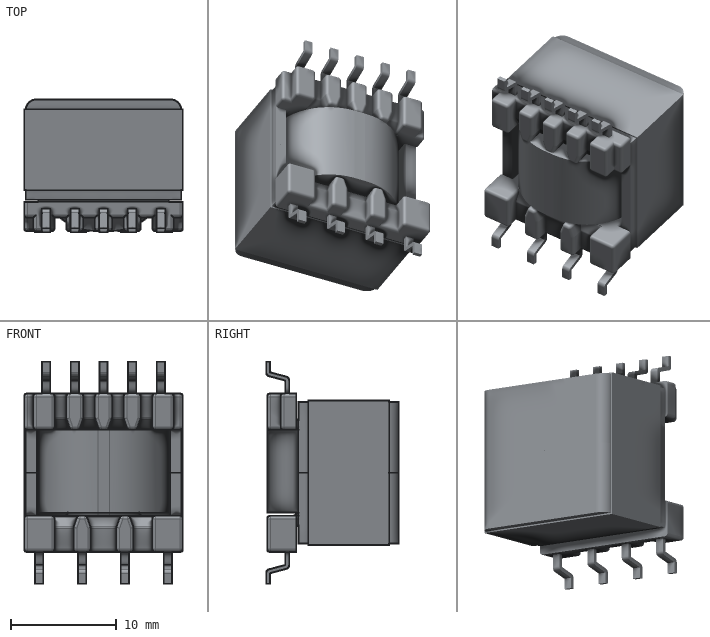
import cadquery as cq
import math


CORE_WIDTH = 14.73
CORE_HEIGHT = 13.4
CORE_FRONT = -2.62
CORE_BACK = 6.88
CORE_CORNER_RADIUS = 1.05
AXIS_HALF_FLAT = 0.556
POST_RADIUS = 2.52
WINDOW_RADIUS = 5.75
WINDOW_HALF_HEIGHT = 4.95

TAPE_THICKNESS = 0.136
TAPE_BACK = CORE_BACK - 0.92
TAPE_DEPTH = 7.66

WINDING_RADIUS = 5.58
WINDING_GAP = 0.3
BARREL_RADIUS = 2.81
BARREL_FILLET = WINDING_GAP
SELECT_MARGIN = 0.02
FLANGE_RADIUS = 5.63
FLANGE_INNER = 4.05

BLOCK_HALF_WIDTH = CORE_WIDTH / 2 + TAPE_THICKNESS
BLOCK_OUTER = 7.5
BLOCK_GAP = 0.19
BLOCK_BACK = CORE_FRONT - BLOCK_GAP
BLOCK_FRONT = -WINDING_RADIUS
BLOCK_EDGE_RADIUS = 0.3
RAIL_FRONT = -4.3
TAPER_HEIGHT = 1.1
RAIL_TAPER = 0.63
TOOTH_WIDTH = 1.62
TOOTH_TAPER = 0.38
CORNER_INNER = 4.62
UPPER_CORNER_OUTER = 6.63

PIN_WIDTH = 0.8
PIN_THICKNESS = 0.4
PIN_ROOT_Y = -3.67
PIN_FOOT_Y = -5.48
PIN_LOWER_BEND = 8.85
PIN_UPPER_BEND = 9.35
PIN_TIP = 10.5
UPPER_PITCH = 2.7
UPPER_PINS = 5
LOWER_PITCH = 4.05
LOWER_PINS = 4


def box(x_range, y_range, z_range):
    """Axis-aligned box between pairs of limits."""
    (x0, x1), (y0, y1), (z0, z1) = x_range, y_range, z_range
    return cq.Workplane("XY").box(x1 - x0, y1 - y0, z1 - z0, centered=False).translate((x0, y0, z0))


def obround(radius, z0, z1):
    """Upright obround column, its straight sides parallel to X."""
    length = 2 * (radius + AXIS_HALF_FLAT)
    return cq.Workplane("XY").workplane(offset=z0).slot2D(length, 2 * radius).extrude(z1 - z0)


def open_front(radius, front, z0, z1):
    """Column with an obround rear half, carried straight forward to a flat front at the given Y."""
    half_width = radius + AXIS_HALF_FLAT
    rear = obround(radius, z0, z1).intersect(box((-half_width, half_width), (0, radius), (z0, z1)))
    return rear.union(box((-half_width, half_width), (front, 0), (z0, z1)))


def centred_positions(count, pitch):
    """Evenly spaced X positions, symmetric about zero."""
    return [(i - (count - 1) / 2) * pitch for i in range(count)]


def make_core_half(side):
    """Half of the core with its share of the centre post; side is +1 above, -1 below."""
    z0, z1 = sorted((0, side * CORE_HEIGHT / 2))
    w0, w1 = sorted((0, side * WINDOW_HALF_HEIGHT))
    body = box((-CORE_WIDTH / 2, CORE_WIDTH / 2), (CORE_FRONT, CORE_BACK), (z0, z1))
    body = body.faces(">Y").edges("|Z").fillet(CORE_CORNER_RADIUS)
    window = open_front(WINDOW_RADIUS, CORE_FRONT, w0, w1)
    return body.cut(window.cut(obround(POST_RADIUS, w0, w1)))


def make_tape():
    """Closed rectangular band around the sides of both core halves."""
    band = (
        cq.Workplane("XZ", origin=(0, TAPE_BACK, 0))
        .rect(CORE_WIDTH + 2 * TAPE_THICKNESS, CORE_HEIGHT + 2 * TAPE_THICKNESS)
        .rect(CORE_WIDTH, CORE_HEIGHT)
        .extrude(TAPE_DEPTH)
    )
    return band


def make_winding():
    """Hollow obround coil fitted on the barrel, clear of the lower flange."""
    z0 = -FLANGE_INNER + WINDING_GAP
    return obround(WINDING_RADIUS, z0, FLANGE_INNER).cut(obround(BARREL_RADIUS, z0, FLANGE_INNER))


def make_flange():
    """Upper flange plate, rounded along its inner rim and coved into the block behind it."""
    half_width = FLANGE_RADIUS + AXIS_HALF_FLAT
    plate = open_front(FLANGE_RADIUS, RAIL_FRONT + RAIL_TAPER, FLANGE_INNER, WINDOW_HALF_HEIGHT)
    plate = plate.faces("<Z").edges("not <Y").fillet(BLOCK_EDGE_RADIUS)
    cove_mid = BLOCK_GAP * (1 - math.sqrt(0.5))
    cove = (
        cq.Workplane("YZ", origin=(-half_width, 0, 0))
        .moveTo(CORE_FRONT, WINDOW_HALF_HEIGHT)
        .threePointArc(
            (BLOCK_BACK + cove_mid, WINDOW_HALF_HEIGHT + cove_mid),
            (BLOCK_BACK, WINDOW_HALF_HEIGHT + BLOCK_GAP),
        )
        .lineTo(BLOCK_BACK, WINDOW_HALF_HEIGHT)
        .close()
        .extrude(2 * half_width)
    )
    return plate.union(cove)


def rounded_bar(x0, x1, front):
    """Full-height block rounded on every edge except around its back face."""
    bar = box((x0, x1), (front, BLOCK_BACK), (FLANGE_INNER, BLOCK_OUTER))
    return bar.edges("not >Y").fillet(BLOCK_EDGE_RADIUS)


def make_rail():
    """Bar joining the teeth, its front slanting back toward the winding."""
    profile = [
        (BLOCK_BACK, BLOCK_OUTER),
        (RAIL_FRONT, BLOCK_OUTER),
        (RAIL_FRONT, FLANGE_INNER + TAPER_HEIGHT),
        (RAIL_FRONT + RAIL_TAPER, FLANGE_INNER),
        (BLOCK_BACK, FLANGE_INNER),
    ]
    rail_half = CORNER_INNER + BLOCK_EDGE_RADIUS
    rail = cq.Workplane("YZ", origin=(-rail_half, 0, 0)).polyline(profile).close().extrude(2 * rail_half)
    return rail.edges("|X").edges("<Y or <Z").edges("not >Y").fillet(BLOCK_EDGE_RADIUS)


def make_tooth():
    """Tooth centred on X = 0, narrowing toward the winding."""
    half = TOOTH_WIDTH / 2
    tip = half - TOOTH_TAPER
    shoulder = FLANGE_INNER + TAPER_HEIGHT
    outline = [
        (-half, BLOCK_OUTER), (half, BLOCK_OUTER), (half, shoulder),
        (tip, FLANGE_INNER), (-tip, FLANGE_INNER), (-half, shoulder),
    ]
    tooth = (
        cq.Workplane("XZ", origin=(0, BLOCK_BACK, 0))
        .polyline(outline).close()
        .extrude(BLOCK_BACK - BLOCK_FRONT)
    )
    front = tooth.edges("<Y").vals()
    long = tooth.edges("|Y").edges(">Z or <Z").vals()
    return tooth.newObject(front + long).fillet(BLOCK_EDGE_RADIUS)


def make_pin():
    """Gull-wing pin centred on X = 0, rooted in the upper block."""
    half = PIN_THICKNESS / 2
    slope = math.atan2(PIN_UPPER_BEND - PIN_LOWER_BEND, PIN_ROOT_Y - PIN_FOOT_Y)
    mitre = half * math.cos(slope) / (1 + math.sin(slope))
    root = (FLANGE_INNER + BLOCK_OUTER) / 2
    outline = [
        (PIN_ROOT_Y + half, root),
        (PIN_ROOT_Y + half, PIN_LOWER_BEND + mitre),
        (PIN_FOOT_Y + half, PIN_UPPER_BEND + mitre),
        (PIN_FOOT_Y + half, PIN_TIP),
        (PIN_FOOT_Y - half, PIN_TIP),
        (PIN_FOOT_Y - half, PIN_UPPER_BEND - mitre),
        (PIN_ROOT_Y - half, PIN_LOWER_BEND - mitre),
        (PIN_ROOT_Y - half, root),
    ]
    pin = (
        cq.Workplane("YZ", origin=(-PIN_WIDTH / 2, 0, 0))
        .polyline(outline).close()
        .extrude(PIN_WIDTH)
    )
    for bend in (outline[1], outline[5]):
        pin = pin.edges(cq.selectors.NearestToPointSelector((0, *bend))).fillet(PIN_THICKNESS)
    return pin


def make_end(tooth_positions, pin_positions, corner_outer):
    """Flange, block and pins of one end, in the upper position."""
    end = make_flange().union(make_rail())
    corner_middle = (CORNER_INNER + corner_outer) / 2
    for side in (-1, 1):
        x0, x1 = sorted((side * CORNER_INNER, side * corner_outer))
        end = end.union(rounded_bar(x0, x1, BLOCK_FRONT))
        if corner_outer < BLOCK_HALF_WIDTH:
            x0, x1 = sorted((side * corner_middle, side * BLOCK_HALF_WIDTH))
            end = end.union(rounded_bar(x0, x1, RAIL_FRONT))
    for x in tooth_positions:
        end = end.union(make_tooth().translate((x, 0, 0)))
    for x in pin_positions:
        end = end.union(make_pin().translate((x, 0, 0)))
    return end


def make_bobbin():
    """Both ends joined by a bored barrel that flares into the lower flange."""
    upper_pins = centred_positions(UPPER_PINS, UPPER_PITCH)
    lower_pins = centred_positions(LOWER_PINS, LOWER_PITCH)
    upper_end = make_end(upper_pins[1:-1], upper_pins, UPPER_CORNER_OUTER)
    lower_end = make_end(lower_pins[1:-1], lower_pins, BLOCK_HALF_WIDTH).mirror("XY")
    bobbin_body = upper_end.union(obround(BARREL_RADIUS, -FLANGE_INNER, FLANGE_INNER)).union(lower_end)
    reach = BARREL_RADIUS + AXIS_HALF_FLAT
    barrel_foot = cq.selectors.BoxSelector(
        (-reach, -reach, -FLANGE_INNER - SELECT_MARGIN),
        (reach, reach, -FLANGE_INNER + SELECT_MARGIN),
    )
    bobbin_body = bobbin_body.edges(barrel_foot).fillet(BARREL_FILLET)
    return bobbin_body.cut(obround(POST_RADIUS, -WINDOW_HALF_HEIGHT, WINDOW_HALF_HEIGHT))


core_upper = make_core_half(1)
core_lower = make_core_half(-1)
tape = make_tape()
bobbin = make_bobbin()
winding = make_winding()

result = cq.Compound.makeCompound(
    [core_upper.val(), core_lower.val(), tape.val(), bobbin.val(), winding.val()]
)